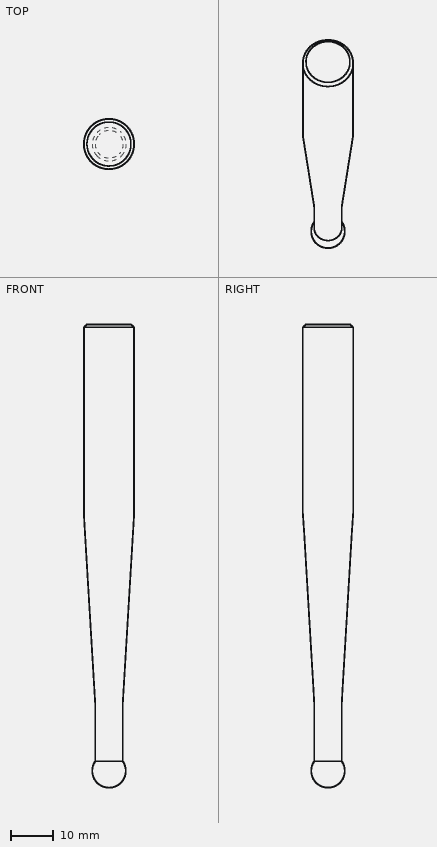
import cadquery as cq
import math

total_length = 110.0
shank_diameter = 12.0
shank_length = 45.0
top_chamfer = 0.8
taper_length = 45.0
neck_diameter = 6.6
ball_diameter = 8.0

shank_radius = shank_diameter / 2
neck_radius = neck_diameter / 2
ball_radius = ball_diameter / 2

shank_bottom = total_length - shank_length
taper_bottom = shank_bottom - taper_length
ball_top = ball_radius + math.sqrt(ball_radius**2 - neck_radius**2)


def make_holder():
    """Chamfered shank, taper and neck, turned as one solid."""
    return (
        cq.Workplane("XZ")
        .moveTo(0, ball_top)
        .lineTo(neck_radius, ball_top)
        .lineTo(neck_radius, taper_bottom)
        .lineTo(shank_radius, shank_bottom)
        .lineTo(shank_radius, total_length - top_chamfer)
        .lineTo(shank_radius - top_chamfer, total_length)
        .lineTo(0, total_length)
        .close()
        .revolve(360, (0, 0, 0), (0, 1, 0))
    )


def make_ball_tip():
    """Ball cut flat where it seats against the end of the neck."""
    return (
        cq.Workplane("XZ")
        .lineTo(0, ball_top)
        .lineTo(neck_radius, ball_top)
        .threePointArc((ball_radius, ball_radius), (0, 0))
        .close()
        .revolve(360, (0, 0, 0), (0, 1, 0))
    )


holder = make_holder()
ball_tip = make_ball_tip()
result = cq.Compound.makeCompound([holder.val(), ball_tip.val()])